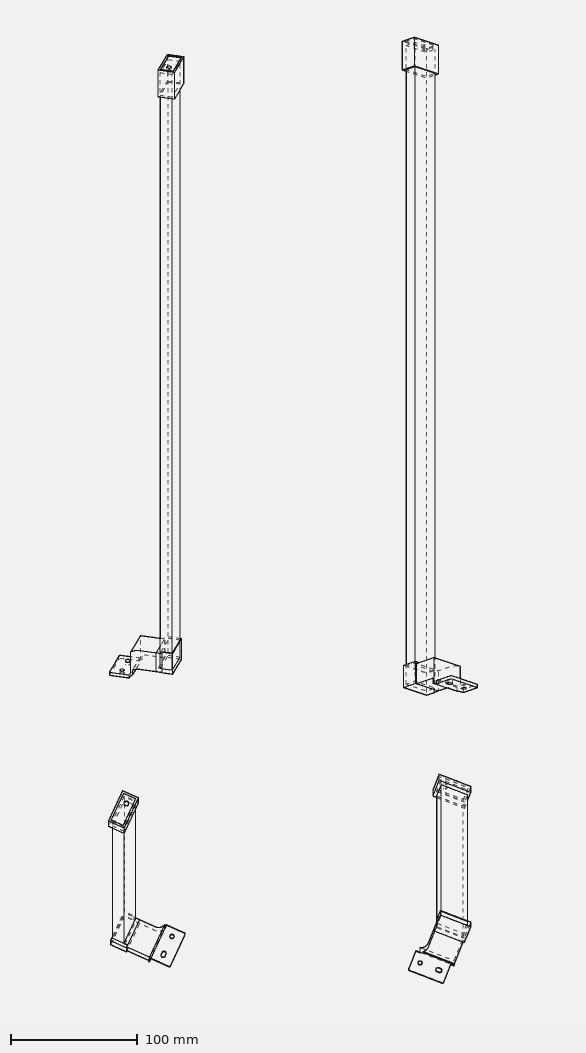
import cadquery as cq

sheet = 3.0
corner_radius = 1.0
plate_length = 16.5
plate_width = 29.5
hole_diameter = 3.5
hole_x = 9.0
round_hole_y = 6.5
slot_y = 22.5
slot_length = 5.0

web_thickness = 1.0
arm_front = 8.0
arm_back = 32.0
arm_bottom = 4.5
arm_top = 21.5
flare_length = 6.0
flare_depth = 5.0
flare_radius = (flare_length**2 + flare_depth**2) / (2 * flare_depth)

socket_left = 36.0
socket_step_x = 41.0
socket_right = 50.0
socket_back = 33.5
socket_top = 23.0
socket_front = 7.5
socket_floor = 3.5

bar_thickness = 10.0
bar_width = 22.5
bar_center_x = 44.5
bar_center_y = 19.5

total_height = 547.0
cap_height = 24.0
cap_left = 38.5
cap_right = 52.0
cap_width = 27.0
cap_center_y = 19.0
cap_rim = 1.5
cap_roof = 3.5
recess_depth = 0.5
cap_hole_diameter = 4.0
cap_hole_y = 13.5

cap_bottom = total_height - cap_height
cap_thickness = cap_right - cap_left
cap_center_x = (cap_left + cap_right) / 2
bar_bottom = arm_bottom + socket_floor
bar_top = total_height - recess_depth - cap_roof


def box(x0, x1, y0, y1, z0, z1):
    """Box between two opposite corners."""
    return cq.Workplane("XY").box(x1 - x0, y1 - y0, z1 - z0, centered=False).translate((x0, y0, z0))


def make_bar():
    return box(
        bar_center_x - bar_thickness / 2, bar_center_x + bar_thickness / 2,
        bar_center_y - bar_width / 2, bar_center_y + bar_width / 2,
        bar_bottom, bar_top,
    )


def arm_block(bottom):
    """Arm from the given height to its top, with a front that flares out at the plate."""
    return (
        cq.Workplane("XY", origin=(0, 0, bottom))
        .moveTo(plate_length, arm_back)
        .lineTo(plate_length, arm_front - flare_depth)
        .radiusArc((plate_length + flare_length, arm_front), flare_radius)
        .lineTo(socket_left, arm_front)
        .lineTo(socket_left, arm_back)
        .close()
        .extrude(arm_top - bottom)
    )


def make_bracket():
    """Drilled plate and arm, joined by the arm's thin end web that reaches down beside the plate."""
    plate = box(0, plate_length, 0, plate_width, 0, sheet).edges("|Z and <X").fillet(corner_radius)
    web = arm_block(0).intersect(box(plate_length, plate_length + web_thickness, 0, arm_back, 0, arm_top))
    round_hole = cq.Workplane("XY").center(hole_x, round_hole_y).circle(hole_diameter / 2).extrude(sheet)
    slot = cq.Workplane("XY").center(hole_x, slot_y).slot2D(slot_length, hole_diameter, 90).extrude(sheet)
    return plate.union(web).union(arm_block(arm_bottom)).cut(round_hole).cut(slot)


def make_socket(bar):
    """Stepped block with a tall back wall and a blind pocket that holds the foot of the bar."""
    neck = box(socket_left, socket_step_x, arm_front, arm_back, arm_bottom, arm_top)
    body = box(socket_step_x, socket_right, socket_front, socket_back, arm_bottom, socket_top)
    bar_back = bar_center_y + bar_width / 2
    back_wall = box(socket_left, socket_right, bar_back, socket_back, arm_bottom, socket_top)
    return neck.union(body).union(back_wall).cut(bar)


def make_cap(bar):
    """Cap over the bar end, with a shallow rimmed recess and a screw hole in its roof."""
    cap = box(
        cap_left, cap_right,
        cap_center_y - cap_width / 2, cap_center_y + cap_width / 2,
        cap_bottom, total_height,
    )
    recess = (
        cq.Workplane("XY", origin=(cap_center_x, cap_center_y, total_height - recess_depth))
        .rect(cap_thickness - 2 * cap_rim, cap_width - 2 * cap_rim)
        .extrude(recess_depth)
    )
    hole = (
        cq.Workplane("XY", origin=(cap_center_x, cap_hole_y, bar_top))
        .circle(cap_hole_diameter / 2)
        .extrude(cap_roof)
    )
    return cap.cut(recess).cut(hole).cut(bar)


bar = make_bar()
bracket = make_bracket()
socket = make_socket(bar)
cap = make_cap(bar)

result = cq.Compound.makeCompound([bar.val(), bracket.val(), socket.val(), cap.val()])